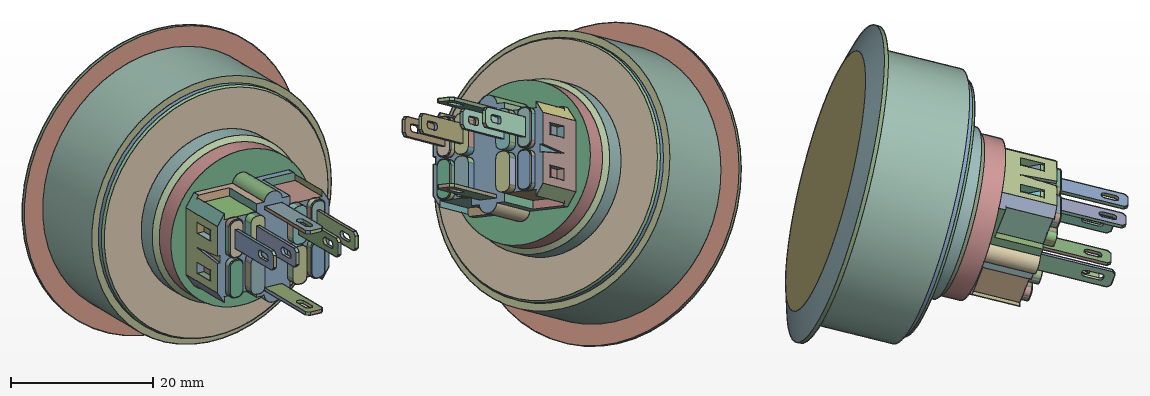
import cadquery as cq

flange_diameter = 46.0
front_face_diameter = 37.7
bevel_length = 1.45
flange_back_x = 2.05
barrel_diameter = 39.9
barrel_end_x = 15.0
shoulder_diameter = 37.7
shoulder_end_x = 16.2
shoulder_chamfer_length = 0.4
shoulder_chamfer_height = 0.25
neck_diameter = 25.0
neck_end_x = 19.1
collar_diameter = 23.5
collar_start_x = 19.8
collar_end_x = 22.85

block_end_x = 31.2
block_length = block_end_x - collar_end_x
block_half_width = 9.3
block_half_height = 7.1
top_flat_half_width = 7.9
side_flat_half_height = 5.05

ridge_radius = 1.5
ridge_crest_z = 8.4

recess_start_x = 24.05
recess_inner_y = 2.8
recess_outer_y = 8.15
recess_floor_z = 5.85

window_start_x = 25.85
window_end_x = 29.35
window_ramp_start_x = 27.35
window_ramp_end_x = 28.85
window_deep = 1.15
window_shallow = 0.28
window_height = 1.65

notch_start_x = window_start_x
notch_half_height = 0.55
notch_depth = 0.45

row_z = 3.05
inner_y = 3.5
outer_y = 6.8
boss_width = 2.35
boss_height = 5.8
boss_corner_radius = 0.95
inner_boss_length = 1.5
outer_boss_length = 1.1
outer_boss_chamfer = 0.15

blade_width = 2.85
blade_thickness = 0.5
blade_corner = 0.5
inner_blade_end_x = 43.1
outer_blade_end_x = 42.35
ridge_blade_z = 6.15
slot_width = 1.1
slot_end_gap = 1.4
side_slot_length = 2.58
ridge_slot_length = 3.2
blade_embed = 0.9


def turned_body():
    shoulder_rim = shoulder_diameter / 2 - shoulder_chamfer_height
    profile = [
        (0, 0),
        (0, front_face_diameter / 2),
        (bevel_length, flange_diameter / 2),
        (flange_back_x, flange_diameter / 2),
        (flange_back_x, barrel_diameter / 2),
        (barrel_end_x, barrel_diameter / 2),
        (barrel_end_x, shoulder_diameter / 2),
        (shoulder_end_x - shoulder_chamfer_length, shoulder_diameter / 2),
        (shoulder_end_x, shoulder_rim),
        (shoulder_end_x, neck_diameter / 2),
        (neck_end_x, neck_diameter / 2),
        (collar_start_x, collar_diameter / 2),
        (collar_end_x, collar_diameter / 2),
        (collar_end_x, 0),
    ]
    return cq.Workplane("XY").polyline(profile).close().revolve(360, (0, 0, 0), (1, 0, 0))


def box(x_range, y_range, z_range):
    """Box spanning the given (low, high) limits along each axis."""
    limits = (x_range, y_range, z_range)
    lengths = [high - low for low, high in limits]
    corner = tuple(low for low, high in limits)
    return cq.Workplane("XY").box(*lengths, centered=False).translate(corner)


def block():
    """Octagonal block with a rounded ridge on the top and bottom."""
    outline = [
        (block_half_width, side_flat_half_height),
        (top_flat_half_width, block_half_height),
        (-top_flat_half_width, block_half_height),
        (-block_half_width, side_flat_half_height),
        (-block_half_width, -side_flat_half_height),
        (-top_flat_half_width, -block_half_height),
        (top_flat_half_width, -block_half_height),
        (block_half_width, -side_flat_half_height),
    ]
    ridge_z = ridge_crest_z - ridge_radius
    base = cq.Workplane("YZ", origin=(collar_end_x, 0, 0))
    ridges = base.pushPoints([(0, ridge_z), (0, -ridge_z)]).circle(ridge_radius).extrude(block_length)
    return base.polyline(outline).close().extrude(block_length).union(ridges)


def recess():
    """Recess on the +Y, +Z side of the block."""
    return box(
        (recess_start_x, block_end_x),
        (recess_inner_y, recess_outer_y),
        (recess_floor_z, block_half_height),
    )


def window():
    """Window in the -Y face, in the +Z row."""
    face_y = -block_half_width
    floor = [
        (window_start_x, face_y),
        (window_start_x, face_y + window_deep),
        (window_ramp_start_x, face_y + window_deep),
        (window_ramp_end_x, face_y + window_shallow),
        (window_end_x, face_y + window_shallow),
        (window_end_x, face_y),
    ]
    base = cq.Workplane("XY", origin=(0, 0, row_z - window_height / 2))
    return base.polyline(floor).close().extrude(window_height)


def notch():
    """Wedge cut into the -Y face, widening from a point to the end of the block."""
    tip = (notch_start_x, 0)
    upper = (block_end_x, notch_half_height)
    lower = (block_end_x, -notch_half_height)
    base = cq.Workplane("XZ", origin=(0, -block_half_width, 0))
    return base.polyline([tip, upper, lower]).close().extrude(-notch_depth)


def boss(y, z, length):
    base = cq.Workplane("YZ", origin=(block_end_x, y, z))
    return base.rect(boss_width, boss_height).extrude(length).edges("|X").fillet(boss_corner_radius)


def blade(end_x, slot_length):
    """Flat solder blade in the XY plane, centred on the X axis."""
    start_x = block_end_x - blade_embed
    length = end_x - start_x
    slot_x = end_x - slot_end_gap - slot_length / 2
    plate = cq.Workplane("XY").box(length, blade_width, blade_thickness)
    plate = plate.edges("|Z and >X").chamfer(blade_corner).translate((start_x + length / 2, 0, 0))
    slot = cq.Workplane("XY", origin=(slot_x, 0, 0)).slot2D(slot_length, slot_width)
    return plate.cut(slot.extrude(blade_thickness, both=True))


def upright_blade(y, end_x):
    return blade(end_x, side_slot_length).rotate((0, 0, 0), (1, 0, 0), 90).translate((0, y, row_z))


def both_sides(shape, plane):
    """The shape together with its mirror image."""
    return shape.union(shape.mirror(plane))


terminal_block = block()
terminal_block = terminal_block.cut(both_sides(both_sides(recess(), "XZ"), "XY"))
terminal_block = terminal_block.cut(both_sides(both_sides(window(), "XY"), "XZ"))
terminal_block = terminal_block.cut(both_sides(notch(), "XZ"))

result = turned_body().union(terminal_block)

for side in (1, -1):
    for row in (1, -1):
        outer_boss = boss(side * outer_y, row * row_z, outer_boss_length)
        result = result.union(boss(side * inner_y, row * row_z, inner_boss_length))
        result = result.union(outer_boss.faces(">X").chamfer(outer_boss_chamfer))
    result = result.union(upright_blade(side * inner_y, inner_blade_end_x))
    result = result.union(upright_blade(side * outer_y, outer_blade_end_x))
    ridge_blade = blade(outer_blade_end_x, ridge_slot_length)
    result = result.union(ridge_blade.translate((0, 0, side * ridge_blade_z)))